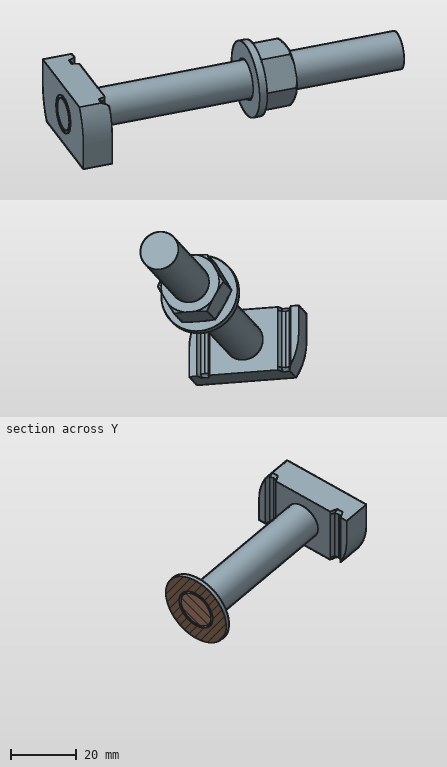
import cadquery as cq
import math

total_length = 109.0
head_face_y = -total_length / 2

head_width = 34.5
head_height = 20.1
head_thickness = 9.5
head_corner_x = 14.0
head_round_start_z = 1.3
head_top_y = head_face_y + head_thickness

groove_offset = 12.8
groove_half_width = 2.02
groove_depth = 1.6
groove_shoulder_half_width = 1.2
groove_shoulder_depth = 1.2
groove_mouth_half_floor = 1.1
groove_mouth_depth = 2.3
groove_mouth_length = 1.1

rod_diameter = 12.0
rod_core_diameter = 10.2
rod_end_step = 0.2

nut_across_flats = 18.0
nut_thickness = 10.8
nut_chamfer_radius = 9.2
nut_chamfer_angle = 30.0
washer_diameter = 24.0
washer_hole_diameter = 13.0
washer_thickness = 2.5
washer_y = 5.0
nut_y = washer_y + washer_thickness


def plane_at(y):
    """XZ plane at the given height, with its normal along +Y."""
    return cq.Plane(origin=(0, y, 0), xDir=(1, 0, 0), normal=(0, 1, 0))


def cylinder(y, diameter, length):
    """Cylinder on the bolt axis."""
    return cq.Workplane(plane_at(y)).circle(diameter / 2).extrude(length)


def groove_section(z, shoulder_half_width, shoulder_depth, depth):
    """Five-sided groove outline at height z, open at the inner face of the head."""
    points = [
        (-groove_half_width, 0),
        (-shoulder_half_width, -shoulder_depth),
        (0, -depth),
        (shoulder_half_width, -shoulder_depth),
        (groove_half_width, 0),
    ]
    return cq.Wire.makePolygon(
        [cq.Vector(groove_offset + x, head_top_y + y, z) for x, y in points], close=True
    )


def plain_groove_section(z):
    """Groove outline between the mouths, with a blunt V floor."""
    return groove_section(z, groove_shoulder_half_width, groove_shoulder_depth, groove_depth)


def make_groove_cutters():
    """The +X groove and the two mouths where it deepens to a flat floor."""
    outer_z = head_height / 2
    inner_z = outer_z - groove_mouth_length
    groove = cq.Workplane(cq.Solid.makeLoft(
        [plain_groove_section(-outer_z), plain_groove_section(outer_z)], True
    ))
    mouth_end = groove_section(
        outer_z, groove_mouth_half_floor, groove_mouth_depth, groove_mouth_depth
    )
    mouth = cq.Workplane(cq.Solid.makeLoft([mouth_end, plain_groove_section(inner_z)], True))
    return [groove, mouth, mouth.mirror("XY")]


def make_head():
    """Rectangular head, rounded at two opposite corners so that it can turn in its channel."""
    half_width = head_width / 2
    half_height = head_height / 2
    arc_height = half_height + head_round_start_z
    arc_inset = half_width - head_corner_x
    arc_radius = (arc_height**2 + arc_inset**2) / (2 * arc_inset)
    arc_middle_angle = math.asin(arc_height / arc_radius) / 2
    middle_x = half_width - arc_radius * (1 - math.cos(arc_middle_angle))
    middle_z = arc_radius * math.sin(arc_middle_angle) - head_round_start_z
    head = (
        cq.Workplane("XZ", origin=(0, head_face_y, 0))
        .moveTo(-half_width, half_height)
        .lineTo(head_corner_x, half_height)
        .threePointArc((middle_x, middle_z), (half_width, -head_round_start_z))
        .lineTo(half_width, -half_height)
        .lineTo(-head_corner_x, -half_height)
        .threePointArc((-middle_x, -middle_z), (-half_width, head_round_start_z))
        .close()
        .extrude(-head_thickness)
    )

    for cutter in make_groove_cutters():
        head = head.cut(cutter).cut(cutter.mirror("YZ"))
    return head.cut(cylinder(head_face_y, rod_diameter, head_thickness))


def make_rod():
    core_end = cylinder(head_face_y, rod_core_diameter, rod_end_step)
    shank = cylinder(head_face_y + rod_end_step, rod_diameter, total_length - rod_end_step)
    return shank.union(core_end)


def make_washer():
    disc = cylinder(washer_y, washer_diameter, washer_thickness)
    return disc.cut(cylinder(washer_y, washer_hole_diameter, washer_thickness))


def make_nut():
    across_corners = nut_across_flats / math.cos(math.radians(30))
    corner_radius = across_corners / 2
    chamfer_height = (corner_radius - nut_chamfer_radius) * math.tan(math.radians(nut_chamfer_angle))
    hexagon = cq.Workplane(plane_at(nut_y)).polygon(6, across_corners).extrude(nut_thickness)
    chamfer_envelope = (
        cq.Workplane("XY", origin=(0, nut_y, 0))
        .polyline([
            (0, 0),
            (nut_chamfer_radius, 0),
            (corner_radius, chamfer_height),
            (corner_radius, nut_thickness - chamfer_height),
            (nut_chamfer_radius, nut_thickness),
            (0, nut_thickness),
        ])
        .close()
        .revolve(360, (0, 0, 0), (0, 1, 0))
    )
    return hexagon.intersect(chamfer_envelope).cut(cylinder(nut_y, rod_diameter, nut_thickness))


head = make_head()
rod = make_rod()
washer = make_washer()
nut = make_nut()

result = cq.Compound.makeCompound([head.val(), rod.val(), washer.val(), nut.val()])